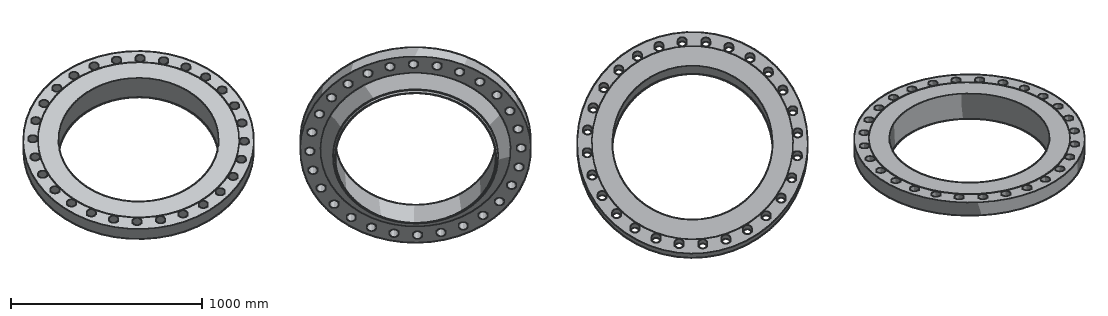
import cadquery as cq

outer_diameter = 1206.0
total_height = 160.0
bore_diameter = 837.0

face_diameter = 1052.0
face_height = 2.0
plate_thickness = 83.0
plate_top = total_height - face_height
plate_bottom = plate_top - plate_thickness

hub_base_diameter = 994.0
neck_diameter = 864.0
neck_top = 18.0
bevel_height = 11.0
weld_end_diameter = 845.0

bolt_count = 28
bolt_circle_diameter = 1105.0
bolt_hole_diameter = 50.0


def flange_body():
    """Revolve the half section about Z, bore included."""
    section = (
        cq.Workplane("XZ")
        .moveTo(bore_diameter / 2, 0)
        .lineTo(weld_end_diameter / 2, 0)
        .lineTo(neck_diameter / 2, bevel_height)
        .lineTo(neck_diameter / 2, neck_top)
        .lineTo(hub_base_diameter / 2, plate_bottom)
        .lineTo(outer_diameter / 2, plate_bottom)
        .lineTo(outer_diameter / 2, plate_top)
        .lineTo(face_diameter / 2, plate_top)
        .lineTo(face_diameter / 2, total_height)
        .lineTo(bore_diameter / 2, total_height)
        .close()
    )
    return section.revolve(360, (0, 0, 0), (0, 1, 0))


def bolt_holes():
    """Cylinders that pass through the flange plate."""
    return (
        cq.Workplane("XY")
        .polarArray(bolt_circle_diameter / 2, 0, 360, bolt_count)
        .circle(bolt_hole_diameter / 2)
        .extrude(total_height)
    )


result = flange_body().cut(bolt_holes())